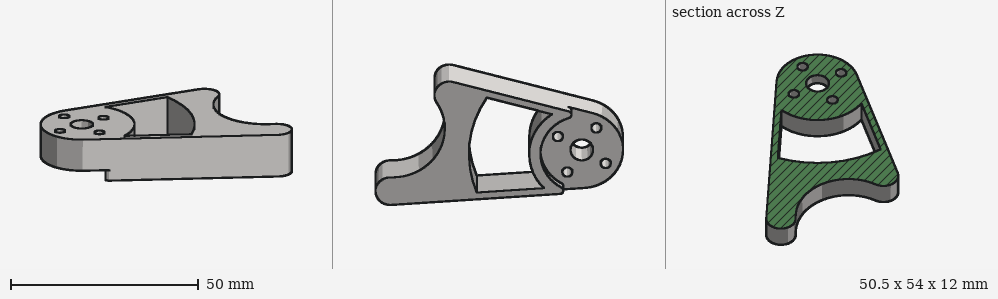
import cadquery as cq
import math

thickness = 12.0
relief_depth = 3.0

hub_radius = 11.0
bore_diameter = 6.0
bolt_hole_diameter = 2.7
bolt_circle_radius = 7.45
bolt_count = 4
relief_end_radius = 1.0

tip_radius = 4.0
left_tip = (3.85, 38.95)
right_tip = (35.55, 38.05)
cradle_radius = 14.0

wall_thickness = 2.0
window_inner_radius = 14.05
window_outer_radius = 30.05


def polar(radius, angle, center=(0, 0)):
    """Point at a distance and an angle (radians) from a centre."""
    return (center[0] + radius * math.cos(angle), center[1] + radius * math.sin(angle))


def direction(start, end):
    """Angle of the line from one point to another."""
    return math.atan2(end[1] - start[1], end[0] - start[0])


def side_normal(tip, side):
    """Outward normal angle of the straight side tangent to the hub and a tip."""
    spread = math.acos((hub_radius - tip_radius) / math.hypot(*tip))
    return direction((0, 0), tip) + side * spread


left_normal = side_normal(left_tip, 1)
right_normal = side_normal(right_tip, -1)

tip_gap = math.dist(left_tip, right_tip)
cradle_offset = math.acos(tip_gap / 2 / (cradle_radius + tip_radius))
cradle_center = polar(
    cradle_radius + tip_radius, direction(left_tip, right_tip) + cradle_offset, left_tip
)


def tip_arc(sketch, tip, start_angle, end_angle):
    """Continue an outline clockwise round a tip."""
    middle = polar(tip_radius, (start_angle + end_angle) / 2, tip)
    return sketch.threePointArc(middle, polar(tip_radius, end_angle, tip))


def fork_edge(sketch):
    """Continue an outline up the left side, across the fork to the right tip."""
    left_inner = direction(left_tip, cradle_center)
    right_inner = direction(right_tip, cradle_center)
    cradle_bottom = (cradle_center[0], cradle_center[1] - cradle_radius)
    sketch = sketch.lineTo(*polar(tip_radius, left_normal, left_tip))
    sketch = tip_arc(sketch, left_tip, left_normal, left_inner)
    sketch = sketch.threePointArc(cradle_bottom, polar(tip_radius, right_inner, right_tip))
    return tip_arc(sketch, right_tip, right_inner, right_normal)


def upper_body():
    """Full outline, including the hub, above the relief."""
    far_side = (left_normal + right_normal) / 2 + math.pi
    sketch = cq.Workplane("XY", origin=(0, 0, relief_depth))
    sketch = fork_edge(sketch.moveTo(*polar(hub_radius, left_normal)))
    sketch = sketch.lineTo(*polar(hub_radius, right_normal))
    sketch = sketch.threePointArc(polar(hub_radius, far_side), polar(hub_radius, left_normal))
    return sketch.close().extrude(thickness - relief_depth)


def lower_body():
    """Bottom layer, ending in a hub-sized concave arc with rounded wall ends."""
    end_distance = hub_radius + relief_end_radius
    end_angle = math.acos((hub_radius - relief_end_radius) / end_distance)
    left_angle = left_normal - end_angle
    right_angle = right_normal + end_angle
    left_center = polar(end_distance, left_angle)
    right_center = polar(end_distance, right_angle)
    left_middle = (left_normal + left_angle + math.pi) / 2
    right_middle = (right_normal + right_angle - math.pi) / 2

    sketch = cq.Workplane("XY").moveTo(*polar(relief_end_radius, left_normal, left_center))
    sketch = fork_edge(sketch)
    sketch = sketch.lineTo(*polar(relief_end_radius, right_normal, right_center))
    sketch = sketch.threePointArc(
        polar(relief_end_radius, right_middle, right_center), polar(hub_radius, right_angle)
    )
    sketch = sketch.threePointArc(
        polar(hub_radius, (left_angle + right_angle) / 2), polar(hub_radius, left_angle)
    )
    sketch = sketch.threePointArc(
        polar(relief_end_radius, left_middle, left_center),
        polar(relief_end_radius, left_normal, left_center),
    )
    return sketch.close().extrude(relief_depth)


def window():
    """Opening between two hub-centred arcs and two lines parallel to the sides."""
    wall_distance = hub_radius - wall_thickness
    inner_spread = math.acos(wall_distance / window_inner_radius)
    outer_spread = math.acos(wall_distance / window_outer_radius)
    middle = (left_normal + right_normal) / 2
    return (
        cq.Workplane("XY")
        .moveTo(*polar(window_inner_radius, left_normal - inner_spread))
        .lineTo(*polar(window_outer_radius, left_normal - outer_spread))
        .threePointArc(
            polar(window_outer_radius, middle),
            polar(window_outer_radius, right_normal + outer_spread),
        )
        .lineTo(*polar(window_inner_radius, right_normal + inner_spread))
        .threePointArc(
            polar(window_inner_radius, middle),
            polar(window_inner_radius, left_normal - inner_spread),
        )
        .close()
        .extrude(thickness)
    )


def hub_holes():
    """Central bore and the ring of bolt holes."""
    bore = cq.Workplane("XY").circle(bore_diameter / 2).extrude(thickness)
    bolts = (
        cq.Workplane("XY")
        .polarArray(bolt_circle_radius, 0, 360, bolt_count)
        .circle(bolt_hole_diameter / 2)
        .extrude(thickness)
    )
    return bore.union(bolts)


result = upper_body().union(lower_body()).cut(window()).cut(hub_holes())